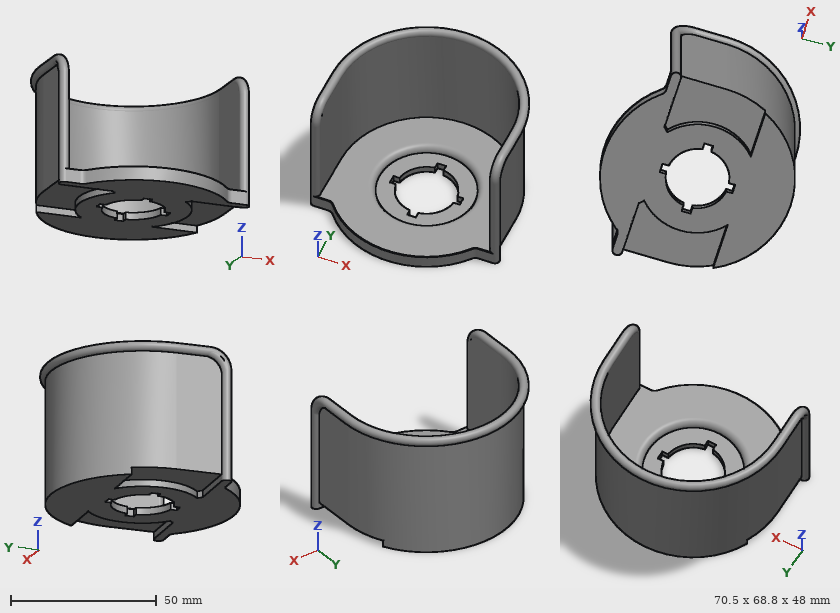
import cadquery as cq
import math

total_width = 70.5
total_height = 48.0
bead_radius = 1.75
wall_thickness = 1.7
wall_radius = total_width / 2 - bead_radius
wall_inner_radius = wall_radius - wall_thickness
front_y = -20.0
bead_top = total_height - bead_radius
bead_front = front_y + bead_radius
bead_bend_radius = 6.2
wall_corner_radius = 8.0
corner_bead_radius = 1.7

plate_thickness = 5.0
plate_edge_chamfer = 0.2
plate_neck_radius = 2.5

dish_radius = 17.5
dish_depth = 2.5
hole_radius = 10.9
key_span = 26.1
key_width = 3.2

hub_radius = 20.0
pocket_half_length = 15.0
pocket_height = 2.5


def u_outline(radius, end_y):
    """Closed U: a half circle on the +Y side and straight sides down to end_y."""
    return (
        cq.Workplane("XY")
        .moveTo(-radius, end_y)
        .lineTo(-radius, 0)
        .threePointArc((0, radius), (radius, 0))
        .lineTo(radius, end_y)
        .close()
    )


def make_plate():
    """U plate with a round front lobe, joined to the front edge by small concave arcs."""
    neck_centre_y = front_y - plate_neck_radius
    centre_distance = wall_radius + plate_neck_radius
    neck_x = math.sqrt(centre_distance**2 - neck_centre_y**2)
    lobe_x = neck_x * wall_radius / centre_distance
    lobe_y = neck_centre_y * wall_radius / centre_distance
    plate = (
        cq.Workplane("XY")
        .moveTo(-wall_radius, front_y)
        .lineTo(-wall_radius, 0)
        .threePointArc((0, wall_radius), (wall_radius, 0))
        .lineTo(wall_radius, front_y)
        .lineTo(neck_x, front_y)
        .radiusArc((lobe_x, lobe_y), -plate_neck_radius)
        .threePointArc((0, -wall_radius), (-lobe_x, lobe_y))
        .radiusArc((-neck_x, front_y), -plate_neck_radius)
        .close()
        .extrude(plate_thickness)
    )
    return plate.faces(">Z").edges().chamfer(plate_edge_chamfer)


def make_wall():
    """U wall whose two upper front corners are rounded."""
    outer = u_outline(wall_radius, bead_front).extrude(bead_top)
    outer = outer.edges("|X and >Z and <Y").fillet(wall_corner_radius)
    inside = u_outline(wall_inner_radius, front_y).extrude(total_height)
    return outer.cut(inside)


def tube(path, start, direction, radius=bead_radius):
    """Round bead swept along a path."""
    plane = cq.Plane(origin=start, normal=direction)
    return cq.Workplane(plane).circle(radius).sweep(path)


def corner_arc(path, bend_radius):
    """Continue a path that runs up a front edge round its upper corner."""
    bend_y = bead_front + bend_radius
    bend_z = bead_top - bend_radius
    diagonal = bend_radius * math.sqrt(0.5)
    return path.threePointArc(
        (bend_y - diagonal, bend_z + diagonal),
        (bend_y, bead_top),
    )


def make_side_bead(x):
    """Bead up one front edge, round its corner and back along the top."""
    edge = (
        cq.Workplane("YZ", origin=(x, 0, 0))
        .moveTo(bead_front, 0)
        .lineTo(bead_front, bead_top - bead_bend_radius)
    )
    path = corner_arc(edge, bead_bend_radius).lineTo(0, bead_top)
    return tube(path, (x, bead_front, 0), (0, 0, 1))


def make_corner_bead(x):
    """Second bead with a wider bend that follows the rounded corner of the wall."""
    start_z = bead_top - wall_corner_radius
    start = cq.Workplane("YZ", origin=(x, 0, 0)).moveTo(bead_front, start_z)
    path = corner_arc(start, wall_corner_radius)
    return tube(path, (x, bead_front, start_z), (0, 0, 1), corner_bead_radius)


def make_bead():
    """Rolled rim: two front edges joined by a half ring round the back."""
    ring_path = (
        cq.Workplane("XY", origin=(0, 0, bead_top))
        .moveTo(-wall_radius, 0)
        .threePointArc((0, wall_radius), (wall_radius, 0))
    )
    bead = tube(ring_path, (-wall_radius, 0, bead_top), (0, 1, 0))
    for x in (-wall_radius, wall_radius):
        bead = bead.union(make_side_bead(x)).union(make_corner_bead(x))
    return bead


def make_dish_and_hole():
    """Recess with a rounded lip, and a through hole with four key slots."""
    floor_z = plate_thickness - dish_depth
    lip_radius = dish_radius + dish_depth
    diagonal = dish_depth * math.sqrt(0.5)
    dish = (
        cq.Workplane("XZ")
        .moveTo(0, floor_z)
        .lineTo(dish_radius, floor_z)
        .threePointArc((lip_radius - diagonal, floor_z + diagonal), (lip_radius, plate_thickness))
        .lineTo(0, plate_thickness)
        .close()
        .revolve(360, (0, 0, 0), (0, 1, 0))
    )
    hole = cq.Workplane("XY").circle(hole_radius).extrude(plate_thickness)
    keys = cq.Workplane("XY").rect(key_span, key_width).extrude(plate_thickness)
    cross_keys = cq.Workplane("XY").rect(key_width, key_span).extrude(plate_thickness)
    return dish.union(hole).union(keys).union(cross_keys)


def make_side_pockets():
    """Shallow underside pockets from the round hub out through each side wall."""
    hub_x = math.sqrt(hub_radius**2 - pocket_half_length**2)
    end_y = bead_front + bead_radius
    bevel = pocket_half_length + end_y
    outside = total_width / 2
    pocket = (
        cq.Workplane("XY")
        .moveTo(-hub_x, pocket_half_length)
        .threePointArc((-hub_radius, 0), (-hub_x, -pocket_half_length))
        .lineTo(-hub_x + bevel, end_y)
        .lineTo(-outside, end_y)
        .lineTo(-outside, pocket_half_length)
        .close()
        .extrude(pocket_height)
    )
    return pocket.union(pocket.mirror("YZ"))


body = make_plate().union(make_wall()).cut(make_side_pockets())
result = body.union(make_bead()).cut(make_dish_and_hole())